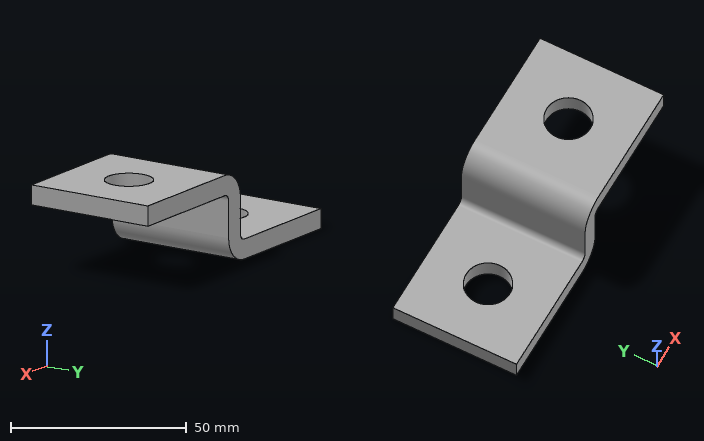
import cadquery as cq

length = 88.0
width = 40.0
height = 27.0

thickness = 6.0
inner_radius = 2.0
outer_radius = inner_radius + thickness

hole_diameter = 14.0
hole_edge_distance = 20.0

web_left = (length - thickness) / 2
web_right = web_left + thickness


def round_bend_edge(body, x, z, radius):
    """Round the edge along Y that passes through (x, z)."""
    reach = thickness / 4
    selector = cq.selectors.BoxSelector(
        (x - reach, -width, z - reach),
        (x + reach, width, z + reach),
    )
    return body.edges(selector).fillet(radius)


bracket = (
    cq.Workplane("XZ")
    .polyline([
        (0, 0),
        (web_right, 0),
        (web_right, height - thickness),
        (length, height - thickness),
        (length, height),
        (web_left, height),
        (web_left, thickness),
        (0, thickness),
    ])
    .close()
    .extrude(width / 2, both=True)
)

bracket = round_bend_edge(bracket, web_left, thickness, inner_radius)
bracket = round_bend_edge(bracket, web_right, 0, outer_radius)
bracket = round_bend_edge(bracket, web_right, height - thickness, inner_radius)
bracket = round_bend_edge(bracket, web_left, height, outer_radius)

holes = (
    cq.Workplane("XY")
    .pushPoints([(hole_edge_distance, 0), (length - hole_edge_distance, 0)])
    .circle(hole_diameter / 2)
    .extrude(height)
)

result = bracket.cut(holes)